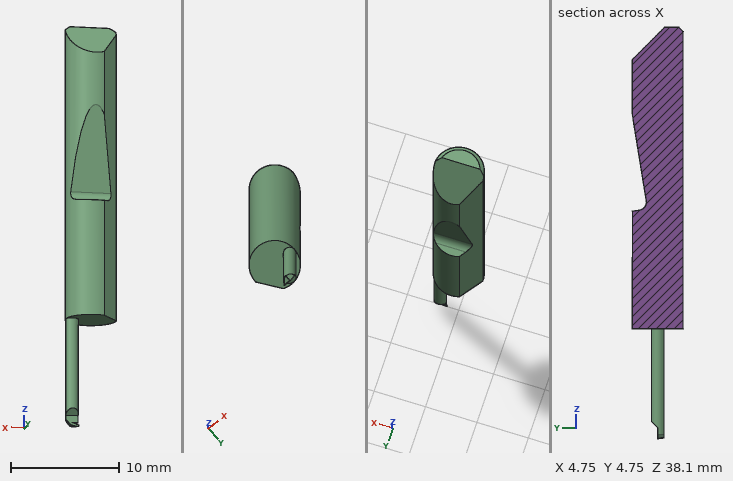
import cadquery as cq
import math

total_length = 38.1
shank_diameter = 4.75
shank_radius = shank_diameter / 2
shoulder_z = 10.17
top_chamfer = 0.42
bevel_edge_y = -0.65

flat_distance = 2.0
flat_angle = 143.5

notch_floor_angle = 9.2
notch_top_z = 30.1
notch_bottom_z = 21.07
notch_fillet = 0.72

neck_diameter = 1.2
neck_radius = neck_diameter / 2
neck_x = shank_radius - neck_radius
half_cut_z = 1.03
neck_end_z = 0.1
corner_chamfer = 0.55

tooth_root_x = 1.8
tooth_root_z = 0.4
tooth_point_x = 1.1
tooth_point_z = 0.15
tooth_tip_x = 1.2
tooth_depth = 0.57
side_relief = 0.5
end_relief = 0.08

margin = 3.8


def side_cutter(points):
    """Prism along X from (y, z) points, wider than the shank."""
    return cq.Workplane("YZ").polyline(points).close().extrude(shank_diameter, both=True)


def make_shank():
    shank = cq.Workplane("XY").workplane(offset=shoulder_z)
    shank = shank.circle(shank_radius).extrude(total_length - shoulder_z)
    return shank.faces(">Z").chamfer(top_chamfer)


def bevel_cutter():
    low_y = bevel_edge_y - margin
    high_y = shank_radius + margin
    low_z = total_length - (high_y - bevel_edge_y)
    return side_cutter([(low_y, total_length + margin), (high_y, total_length + margin), (high_y, low_z)])


def flat_cutter():
    cutter = cq.Workplane("XY").box(margin, 2 * shank_diameter, 2 * total_length)
    cutter = cutter.translate((flat_distance + margin / 2, 0, total_length / 2))
    return cutter.rotate((0, 0, 0), (0, 0, 1), flat_angle)


def notch_cutter():
    """Right-angled wedge whose tilted floor and end wall meet in a fillet."""
    tilt = math.radians(notch_floor_angle)
    opening = notch_top_z - notch_bottom_z
    corner_y = shank_radius - opening * math.cos(tilt) * math.sin(tilt)
    corner_z = notch_bottom_z + opening * math.sin(tilt) ** 2
    floor_out = (shank_radius + margin * math.tan(tilt), notch_top_z + margin)
    wall_out = (shank_radius + margin, notch_bottom_z - margin * math.tan(tilt))
    cutter = side_cutter([(corner_y, corner_z), floor_out, wall_out])
    return cutter.edges("|X").edges("<Y").fillet(notch_fillet)


def make_neck():
    neck = cq.Workplane("XY").workplane(offset=neck_end_z).center(neck_x, 0)
    neck = neck.circle(neck_radius).extrude(shoulder_z - neck_end_z)

    relief = side_cutter(
        [
            (0, -margin),
            (0, half_cut_z),
            (margin, half_cut_z + margin),
            (margin, -margin),
        ]
    )

    corner = cq.Workplane("XZ").polyline(
        [
            (shank_radius - corner_chamfer, neck_end_z),
            (shank_radius, neck_end_z + corner_chamfer),
            (shank_radius, neck_end_z),
        ]
    ).close().extrude(margin, both=True)

    pocket = cq.Workplane("XY").box(
        tooth_root_x, margin, tooth_root_z, centered=(False, True, False)
    )
    return neck.cut(relief).cut(corner).cut(pocket)


def make_tooth():
    """Pointed tooth on the y = 0 face, tapering toward -Y for clearance."""
    face = [
        (tooth_root_x, tooth_root_z),
        (tooth_point_x, tooth_point_z),
        (tooth_tip_x, 0),
        (tooth_root_x, neck_end_z),
    ]
    back = [
        (tooth_root_x, tooth_root_z),
        (tooth_point_x + side_relief, tooth_point_z + end_relief / 2),
        (tooth_tip_x + side_relief, end_relief),
        (tooth_root_x, neck_end_z),
    ]
    tooth = cq.Workplane("XZ").polyline(face).close()
    return tooth.workplane(offset=tooth_depth).polyline(back).close().loft(ruled=True)


shank = make_shank().cut(bevel_cutter()).cut(flat_cutter()).cut(notch_cutter())
result = shank.union(make_neck()).union(make_tooth())